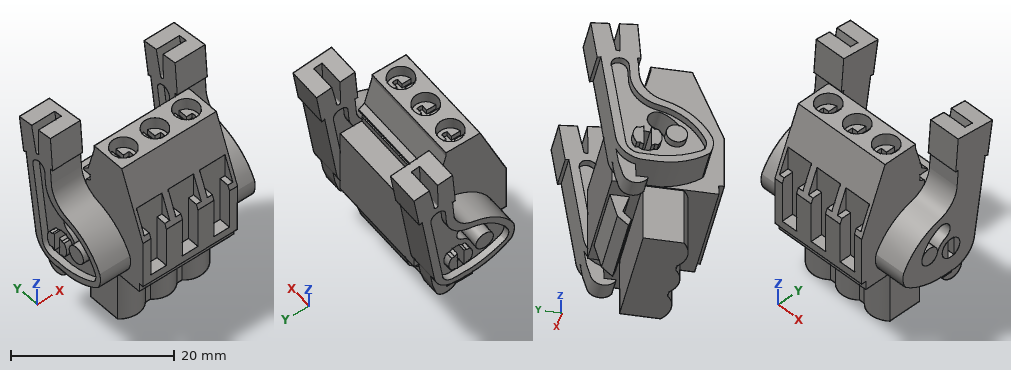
import cadquery as cq
import math


pole_count = 3
pole_pitch = 5.08
overall_width = 24.94

housing_width = pole_count * pole_pitch
lever_width = (overall_width - housing_width) / 2
pole_positions = [(i - (pole_count - 1) / 2) * pole_pitch for i in range(pole_count)]
left_lever_x = -overall_width / 2
right_lever_x = housing_width / 2

top_z = 18.9
top_front_y = 4.0
top_back_y = 9.22
slope_foot_z = 8.92
foot_step_y = 0.69
foot_step_z = 1.36
back_wall_y = 10.78
base_back_y = 14.09
base_ledge_z = 10.9
back_slope_z = 18.26
barb_root_y = 10.37
barb_root_z = 14.1
barb_tip_y = 11.24
barb_tip_z = 13.5
barb_neck_y = 10.0
barb_floor_z = 13.22
barb_notch_z = 12.3
back_wall_z = 11.8

window_back_y = 1.78
window_wide = 4.1
window_narrow = 2.5
window_shoulder_z = 9.69
window_floor_z = 2.58
window_top_z = slope_foot_z + (top_z - slope_foot_z) * window_back_y / top_front_y

plug_height = 8.32
plug_half_width = 7.42
plug_back_y = 10.13
plug_web_y = 5.0
plug_lobe_y = 4.11
lobe_half_width = 2.14

latch_width = 10.0

screw_y = 6.67
screw_diameter = 3.63
screw_sink = 1.85
screw_length = 4.0
cross_depth = 0.8
cross_long_slot = 0.65
cross_short_slot = 0.78
cross_short_reach = 1.28

recess_depth = 1.0
pivot_y = 10.57
pivot_z = 3.81
pivot_radius = 1.51
pivot_gap = 0.97
lip_radius = 1.82
lip_half_height = 1.2
guide_radius = 1.34
guide_orbit = 3.78
guide_rest_angle = 165.5
guide_open_angle = 113.4

lever_foot_z = -0.08
head_top_z = 21.33
head_slot_open_z = head_top_z + 0.5
head_slot_depth = 3.7
hook_width = 2.5
hook_root_z = 2.10
hook_catch_z = -1.83


def plate(profile, x_start, thickness):
    """Extrude a closed (y, z) profile towards +X from x_start."""
    return profile.extrude(thickness).translate((x_start, 0, 0))


def box(x_range, y_range, z_range):
    """Box between pairs of limits."""
    sizes = [limits[1] - limits[0] for limits in (x_range, y_range, z_range)]
    corner = (x_range[0], y_range[0], z_range[0])
    return cq.Workplane("XY").box(*sizes, centered=False).translate(corner)


def rod(y, z, radius, x_start, length):
    """Round bar along +X."""
    return plate(cq.Workplane("YZ").center(y, z).circle(radius), x_start, length)


def on_guide_orbit(angle, radius=guide_orbit):
    """Point (y, z) at an angle around the lever pivot."""
    turn = math.radians(angle)
    return pivot_y + radius * math.cos(turn), pivot_z + radius * math.sin(turn)


guide_y, guide_z = on_guide_orbit(guide_rest_angle)


def housing_block():
    """Main block with sloped front, coding barb at the back and foot ledge."""
    profile = cq.Workplane("YZ").polyline([
        (foot_step_y, 0),
        (foot_step_y, foot_step_z),
        (0, foot_step_z),
        (0, slope_foot_z),
        (top_front_y, top_z),
        (top_back_y, top_z),
        (top_back_y, back_slope_z),
        (barb_root_y, barb_root_z),
        (barb_tip_y, barb_tip_z),
        (barb_tip_y, barb_floor_z),
        (barb_neck_y, barb_floor_z),
        (barb_neck_y, barb_notch_z),
        (back_wall_y, back_wall_z),
        (back_wall_y, base_ledge_z),
        (base_back_y, base_ledge_z),
        (base_back_y, 0),
    ]).close()
    return plate(profile, -housing_width / 2, housing_width)


def lobe_half_arc(outline, crest_x, end_x, rising):
    """Add the half of a plug lobe between its crest and its end on the web."""
    half_chord = abs(end_x - crest_x)
    height = plug_web_y - plug_lobe_y
    radius = (half_chord**2 + height**2) / (2 * height)
    half_turn = math.asin(half_chord / radius) / 2
    side = math.copysign(1, end_x - crest_x)
    middle = (
        crest_x + side * radius * math.sin(half_turn),
        plug_lobe_y + radius * (1 - math.cos(half_turn)),
    )
    end = (end_x, plug_web_y) if rising else (crest_x, plug_lobe_y)
    return outline.threePointArc(middle, end)


def plug():
    """Plug with one rounded lobe per pole along its front."""
    outline = cq.Workplane("XY").moveTo(-plug_half_width, plug_back_y)
    for x in pole_positions:
        is_first = x == pole_positions[0]
        is_last = x == pole_positions[-1]
        lobe_left = -plug_half_width if is_first else x - lobe_half_width
        lobe_right = plug_half_width if is_last else x + lobe_half_width
        outline = outline.lineTo(lobe_left, plug_web_y)
        if is_first or is_last:
            outline = lobe_half_arc(outline, x, lobe_left, rising=False)
            outline = lobe_half_arc(outline, x, lobe_right, rising=True)
        else:
            outline = outline.threePointArc((x, plug_lobe_y), (lobe_right, plug_web_y))
    return outline.lineTo(plug_half_width, plug_back_y).close().extrude(-plug_height)


def latch_strip():
    """Slanting strip with a kicked-out toe, hanging behind the plug."""
    profile = cq.Workplane("YZ").polyline([
        (13.8, 0),
        (12.87, -3.31),
        (11.48, -4.56),
        (11.11, -3.59),
        (12.17, -2.44),
        (11.35, 0),
    ]).close()
    return plate(profile, -latch_width / 2, latch_width)


def wire_window(x):
    """T-shaped wire entry: wide through the slope, narrow down the front."""
    wide = box(
        (x - window_wide / 2, x + window_wide / 2),
        (0, window_back_y),
        (window_shoulder_z, window_top_z),
    )
    narrow = box(
        (x - window_narrow / 2, x + window_narrow / 2),
        (0, window_back_y),
        (window_floor_z, window_shoulder_z),
    )
    return wide.union(narrow)


def screw_bore(x):
    depth = screw_sink + screw_length
    bore = cq.Workplane("XY").circle(screw_diameter / 2).extrude(depth)
    return bore.translate((x, screw_y, top_z - depth))


def pivot_gap_cut(x_start):
    """Gap that splits a pivot post over the lever width."""
    return box(
        (x_start, x_start + lever_width),
        (pivot_y - pivot_gap / 2, pivot_y + pivot_gap / 2),
        (pivot_z - lip_radius, pivot_z + lip_radius),
    )


def pivot_lip():
    """Snap lip of the left pivot post, lying in the lever recess."""
    disc = rod(pivot_y, pivot_z, lip_radius, left_lever_x, recess_depth)
    band = box(
        (left_lever_x, left_lever_x + recess_depth),
        (pivot_y - lip_radius, pivot_y + lip_radius),
        (pivot_z - lip_half_height, pivot_z + lip_half_height),
    )
    return disc.intersect(band)


housing = housing_block().union(plug()).union(latch_strip())
for pole_x in pole_positions:
    housing = housing.cut(wire_window(pole_x)).cut(screw_bore(pole_x))
for lever_x in (left_lever_x, right_lever_x):
    pivot_post = rod(pivot_y, pivot_z, pivot_radius, lever_x, lever_width)
    if lever_x == left_lever_x:
        pivot_post = pivot_post.union(pivot_lip())
    guide_pin = rod(guide_y, guide_z, guide_radius, lever_x, lever_width)
    housing = housing.union(pivot_post.cut(pivot_gap_cut(lever_x))).union(guide_pin)


def screw(x):
    """Screw with a cross recess whose X arm stops short of the rim."""
    radius = screw_diameter / 2
    body = cq.Workplane("XY").circle(radius).extrude(-screw_length)
    long_arm = cq.Workplane("XY").rect(cross_long_slot, screw_diameter).extrude(-cross_depth)
    short_arm = cq.Workplane("XY").rect(screw_diameter, cross_short_slot).extrude(-cross_depth)
    short_arm = short_arm.intersect(cq.Workplane("XY").circle(cross_short_reach).extrude(-cross_depth))
    return body.cut(long_arm).cut(short_arm).translate((x, screw_y, top_z - screw_sink))


screws = [screw(x) for x in pole_positions]


def lever_blank(x):
    """Lever outline: stepped grip head, arm, and rounded cam foot."""
    profile = (
        cq.Workplane("YZ")
        .moveTo(17.69, 20.67)
        .lineTo(11.80, head_top_z)
        .lineTo(11.39, 16.04)
        .lineTo(11.80, 15.95)
        .lineTo(11.61, 13.36)
        .threePointArc((10.65, 11.09), (8.56, 9.78))
        .threePointArc((5.09, 8.07), (2.46, 4.80))
        .threePointArc((2.35, 3.63), (2.78, 2.25))
        .threePointArc((5.74, 0.57), (9.07, lever_foot_z))
        .lineTo(11.30, lever_foot_z)
        .threePointArc((13.43, 0.85), (14.57, 2.89))
        .lineTo(16.43, 15.43)
        .lineTo(16.89, 15.30)
        .close()
    )
    return plate(profile, x, lever_width)


def lever_recess(x):
    """Shallow recess that follows the lever outline inside a raised rim."""
    profile = (
        cq.Workplane("YZ")
        .moveTo(15.13, 14.54)
        .threePointArc((14.02, 15.65), (12.87, 14.65))
        .lineTo(12.78, 13.35)
        .threePointArc((11.94, 10.70), (9.07, 8.90))
        .threePointArc((6.30, 7.74), (3.33, 4.28))
        .threePointArc((3.22, 3.72), (3.80, 2.52))
        .threePointArc((6.39, 1.41), (8.85, 0.89))
        .lineTo(11.63, 0.89)
        .threePointArc((12.69, 1.31), (13.30, 2.33))
        .close()
    )
    return plate(profile, x, recess_depth)


def head_slot(x):
    """Tapered slot with a rounded root, open at the top of the grip head."""
    profile = (
        cq.Workplane("YZ")
        .moveTo(15.53, head_slot_open_z)
        .lineTo(14.57, 17.0)
        .threePointArc((14.30, 16.74), (14.02, 17.0))
        .lineTo(14.11, head_slot_open_z)
        .close()
    )
    return plate(profile, x, head_slot_depth)


def hook(x):
    """Narrow hook below the foot, in the middle of the lever width."""
    profile = (
        cq.Workplane("YZ")
        .moveTo(14.30, hook_root_z)
        .lineTo(13.98, 0)
        .lineTo(13.52, -1.56)
        .threePointArc((12.95, -2.55), (12.04, -2.91))
        .threePointArc((10.85, -2.58), (10.32, -2.05))
        .lineTo(10.28, hook_catch_z)
        .lineTo(11.80, hook_catch_z)
        .lineTo(11.92, hook_root_z)
        .close()
    )
    return plate(profile, x + (lever_width - hook_width) / 2, hook_width)


def guide_slot(x):
    """Slot through the lever web, curved around the pivot, for the guide pin."""
    middle_angle = (guide_rest_angle + guide_open_angle) / 2
    inner = guide_orbit - guide_radius
    outer = guide_orbit + guide_radius
    profile = (
        cq.Workplane("YZ")
        .moveTo(*on_guide_orbit(guide_open_angle, inner))
        .threePointArc(on_guide_orbit(middle_angle, inner), on_guide_orbit(guide_rest_angle, inner))
        .lineTo(*on_guide_orbit(guide_rest_angle, outer))
        .threePointArc(on_guide_orbit(middle_angle, outer), on_guide_orbit(guide_open_angle, outer))
        .close()
    )
    slot = plate(profile, x, lever_width)
    for angle in (guide_rest_angle, guide_open_angle):
        end_y, end_z = on_guide_orbit(angle)
        slot = slot.union(rod(end_y, end_z, guide_radius, x, lever_width))
    return slot


def lever(x):
    body = lever_blank(x).union(hook(x))
    body = body.cut(lever_recess(x)).cut(head_slot(x)).cut(guide_slot(x))
    return body.cut(rod(pivot_y, pivot_z, pivot_radius, x, lever_width))


levers = [lever(x) for x in (left_lever_x, right_lever_x)]

result = cq.Compound.makeCompound(
    [housing.val()] + [body.val() for body in screws + levers]
)